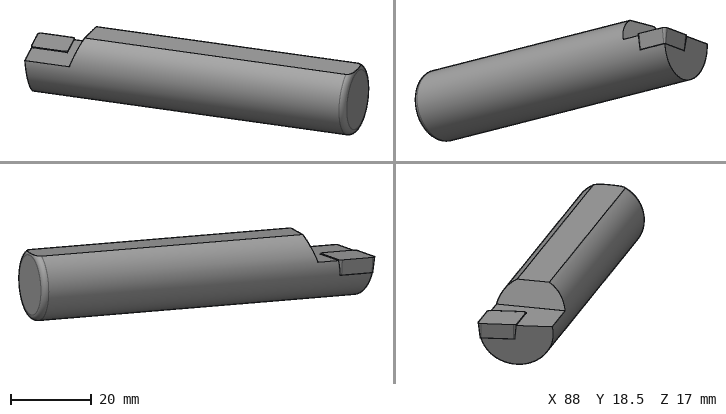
import cadquery as cq
import math


total_length = 88.0
shank_diameter = 18.0
shank_radius = shank_diameter / 2
flat_height = 8.0
rear_fillet = 1.5

insert_width = 9.525
insert_thickness = 4.0
insert_acute_angle = 80.0
clearance_angle = 7.0
corner_radius = 0.8
insert_overhang = 0.5
insert_top = 2.0

insert_rise = 0.25
step_height = insert_top - insert_rise
step_length = 15.0
front_setback = 0.12
shoulder_angle = 20.0

edge_angle = 90.0 - insert_acute_angle
insert_side = insert_width / math.sin(math.radians(insert_acute_angle))
edge_y = shank_radius + insert_overhang
edge_drift = insert_width * math.tan(math.radians(edge_angle))
sharp_tip_x = corner_radius * (1 - 1 / math.tan(math.radians(insert_acute_angle / 2)))


def tapered_rhombus(radius):
    """Rhombic prism that narrows downward by the clearance angle, with rounded corners if radius > 0."""
    corners = [
        (sharp_tip_x, edge_y),
        (sharp_tip_x + insert_side, edge_y),
        (sharp_tip_x + insert_side + edge_drift, edge_y - insert_width),
        (sharp_tip_x + edge_drift, edge_y - insert_width),
    ]
    outline = cq.Sketch().polygon(corners + corners[:1])
    if radius > 0:
        outline = outline.vertices().fillet(radius)
    rake_face = cq.Workplane("XY").workplane(offset=insert_top)
    return rake_face.placeSketch(outline).extrude(-insert_thickness, taper=clearance_angle)


def make_shank():
    """Round bar with a rounded rear end and a flat along its top."""
    bar = cq.Workplane("YZ").circle(shank_radius).extrude(total_length)
    bar = bar.faces(">X").edges().fillet(rear_fillet)
    above_flat = cq.Workplane("XY").box(
        total_length, shank_diameter, shank_diameter, centered=(False, True, False)
    ).translate((0, 0, flat_height))
    return bar.cut(above_flat)


def nose_step_cutter():
    """Material above the nose step, ending at the leaning shoulder."""
    rise = shank_diameter
    shoulder_run = rise * math.tan(math.radians(shoulder_angle))
    profile = [
        (-step_length, step_height),
        (step_length, step_height),
        (step_length + shoulder_run, step_height + rise),
        (-step_length, step_height + rise),
    ]
    return cq.Workplane("XZ").polyline(profile).close().extrude(shank_diameter, both=True)


def front_face_cutter():
    """Material ahead of the front face, parallel to the front flank of the insert and just behind it."""
    angle = math.radians(edge_angle)
    front_edge = cq.Plane(
        origin=(sharp_tip_x + front_setback, edge_y, insert_top),
        xDir=(-math.cos(angle), -math.sin(angle), 0),
        normal=(math.sin(angle), -math.cos(angle), 0),
    )
    reach = shank_diameter
    setback = reach * math.tan(math.radians(clearance_angle))
    profile = [(setback, -reach), (reach, -reach), (reach, reach), (-setback, reach)]
    return cq.Workplane(front_edge).polyline(profile).close().extrude(total_length, both=True)


def make_holder():
    """Shank with the stepped nose, slanted front face and sharp-cornered insert pocket."""
    shank = make_shank()
    nose = shank.cut(nose_step_cutter()).cut(front_face_cutter())
    pocket = tapered_rhombus(0)
    return nose.cut(pocket)


def make_insert():
    """Cutting insert with rounded corners."""
    return tapered_rhombus(corner_radius)


holder = make_holder()
insert = make_insert()

result = cq.Compound.makeCompound([holder.solids().val(), insert.val()])